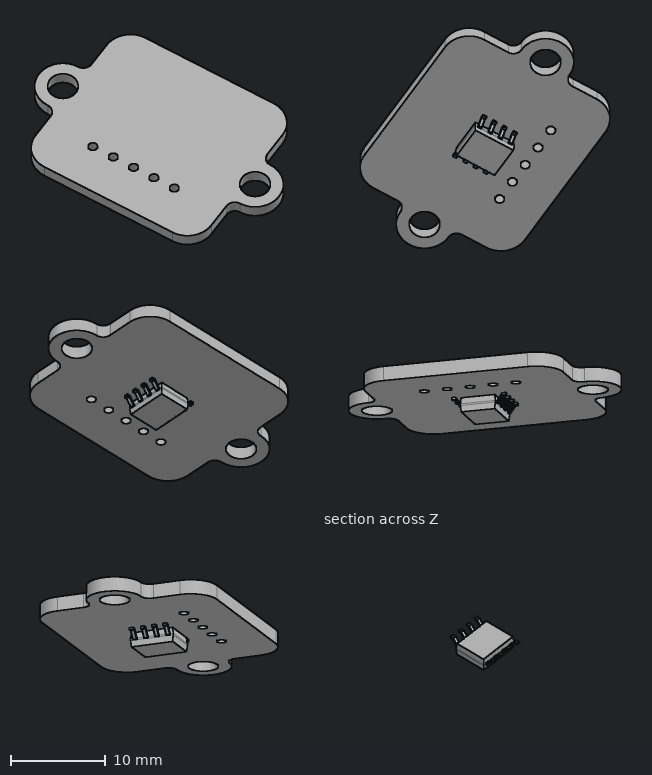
import cadquery as cq

board_width = 21.98
board_depth = 20.0
board_thickness = 1.6
corner_radius = 3.0
lug_span = 30.0
lug_radius = 3.0
lug_hole_diameter = 3.2
lug_centre_x = lug_span / 2 - lug_radius
neck_radius = lug_centre_x - board_width / 2
pin_hole_diameter = 1.0
pin_hole_count = 5
pin_hole_row_length = 10.17
pin_hole_y = -5.0

overall_height = 3.4
chip_gap = 0.25
chip_width = 3.9
chip_depth = 4.9
chip_draft = 0.1
band_height = 0.18
upper_taper_height = 0.65
chip_top_z = -chip_gap
chip_bottom_z = board_thickness - overall_height
band_top_z = chip_top_z - upper_taper_height
band_bottom_z = band_top_z - band_height
lower_taper_height = band_bottom_z - chip_bottom_z

leads_per_side = 4
lead_row_length = 3.8
lead_width = 0.42
lead_thickness = 0.25
lead_span = 6.0
foot_length = 0.3
foot_gap = 0.045
tongue_length = 0.15
bend_shift = 0.1


def row_offsets(count, row_length):
    """Evenly spaced positions centred on zero, with row_length from the first to the last."""
    return [row_length * (i / (count - 1) - 0.5) for i in range(count)]


def make_board():
    board = (
        cq.Workplane("XY")
        .rect(board_width, board_depth)
        .extrude(board_thickness)
        .edges("|Z")
        .fillet(corner_radius)
    )
    lug_centres = [(-lug_centre_x, 0), (lug_centre_x, 0)]

    neck_depth = 2 * (lug_radius + neck_radius)
    necks = cq.Workplane("XY").rect(2 * lug_centre_x, neck_depth).extrude(board_thickness)
    neck_arc_centres = [(x, side * neck_depth / 2) for x, _ in lug_centres for side in (-1, 1)]
    neck_arcs = cq.Workplane("XY").pushPoints(neck_arc_centres).circle(neck_radius).extrude(board_thickness)
    lugs = cq.Workplane("XY").pushPoints(lug_centres).circle(lug_radius).extrude(board_thickness)
    board = board.union(necks.cut(neck_arcs)).union(lugs)

    lug_holes = (
        cq.Workplane("XY").pushPoints(lug_centres).circle(lug_hole_diameter / 2).extrude(board_thickness)
    )
    pin_hole_centres = [(x, pin_hole_y) for x in row_offsets(pin_hole_count, pin_hole_row_length)]
    pin_holes = (
        cq.Workplane("XY").pushPoints(pin_hole_centres).circle(pin_hole_diameter / 2).extrude(board_thickness)
    )
    return board.cut(lug_holes).cut(pin_holes)


def make_chip_half(start_z, height):
    """Block drafted inward on all sides; it rises from start_z, or hangs below it if height is negative."""
    return (
        cq.Workplane("XY", origin=(0, 0, start_z))
        .rect(chip_width, chip_depth)
        .workplane(offset=height)
        .rect(chip_width - 2 * chip_draft, chip_depth - 2 * chip_draft)
        .loft(ruled=True)
    )


def make_chip():
    """Straight band around the middle, with a drafted half above and below it."""
    band = cq.Workplane("XY", origin=(0, 0, band_bottom_z)).rect(chip_width, chip_depth).extrude(band_height)
    upper_half = make_chip_half(band_top_z, upper_taper_height)
    lower_half = make_chip_half(band_bottom_z, -lower_taper_height)
    return band.union(upper_half).union(lower_half)


def make_lead(side, y):
    """Bent strip from a foot just under the board down to the chip band; side is -1 or 1 along X."""
    chip_x = chip_width / 2
    tip_x = lead_span / 2
    foot_bottom_z = -foot_gap - lead_thickness
    upper_bend_x = tip_x - foot_length
    lower_bend_x = chip_x + tongue_length
    outline = [
        (chip_x, band_bottom_z),
        (lower_bend_x, band_bottom_z),
        (upper_bend_x, foot_bottom_z),
        (tip_x, foot_bottom_z),
        (tip_x, -foot_gap),
        (upper_bend_x - bend_shift, -foot_gap),
        (lower_bend_x - bend_shift, band_top_z),
        (chip_x, band_top_z),
    ]
    return (
        cq.Workplane("XZ", origin=(0, y + lead_width / 2, 0))
        .polyline([(side * x, z) for x, z in outline])
        .close()
        .extrude(lead_width)
    )


board = make_board()
chip = make_chip()
leads = [make_lead(side, y) for side in (-1, 1) for y in row_offsets(leads_per_side, lead_row_length)]

result = cq.Compound.makeCompound([board.val(), chip.val(), *[lead.val() for lead in leads]])